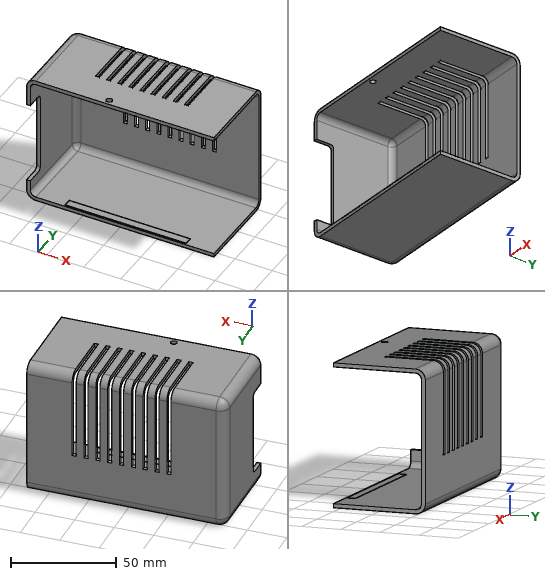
import cadquery as cq

length = 101.0
depth = 47.0
height = 70.0
wall = 2.0
outer_radius = 5.0
inner_radius = outer_radius - wall

notch_depth = 10.0
notch_bottom = 10.5
notch_top = 54.5
notch_radius = 2.0

slot_count = 9
slot_width = 2.0
first_slot_start = 28.0
last_slot_start = 76.0
slot_pitch = (last_slot_start - first_slot_start) / (slot_count - 1)
slot_front = 17.1
slot_bottom = 24.7

hole_diameter = 3.0
hole_x = 42.9
hole_y = 3.0

catch_start = 20.3
catch_end = 85.5
catch_front = 0.8
catch_back = 5.0
catch_front_height = 0.3
catch_back_height = 0.2


def box_between(start, end):
    """Box with opposite corners at start and end."""
    size = [high - low for low, high in zip(start, end)]
    return cq.Workplane("XY").box(*size, centered=False).translate(start)


def rounded_block(start, end, radius):
    """Box with every edge rounded that touches neither the +X nor the -Y face."""
    block = box_between(start, end)
    return block.edges("not(>X or <Y)").fillet(radius)


def make_shell():
    outside = rounded_block((0, 0, 0), (length, depth, height), outer_radius)
    inside = rounded_block((wall, 0, wall), (length, depth - wall, height - wall), inner_radius)
    return outside.cut(inside)


def make_notch():
    notch = box_between((0, 0, notch_bottom), (wall, notch_depth, notch_top))
    return notch.edges("|X and >Y").fillet(notch_radius)


def make_slot(start_x):
    return box_between((start_x, slot_front, slot_bottom), (start_x + slot_width, depth, height))


def make_hole():
    hole = cq.Workplane("XY").circle(hole_diameter / 2).extrude(wall)
    return hole.translate((hole_x, hole_y, height - wall))


def make_catch():
    profile = [
        (catch_front, 0),
        (catch_front, wall + catch_front_height),
        (catch_back, wall + catch_back_height),
        (catch_back, 0),
    ]
    catch = cq.Workplane("YZ").polyline(profile).close().extrude(catch_end - catch_start)
    return catch.translate((catch_start, 0, 0))


result = make_shell().cut(make_notch()).cut(make_hole())
for index in range(slot_count):
    result = result.cut(make_slot(first_slot_start + index * slot_pitch))
result = result.union(make_catch())